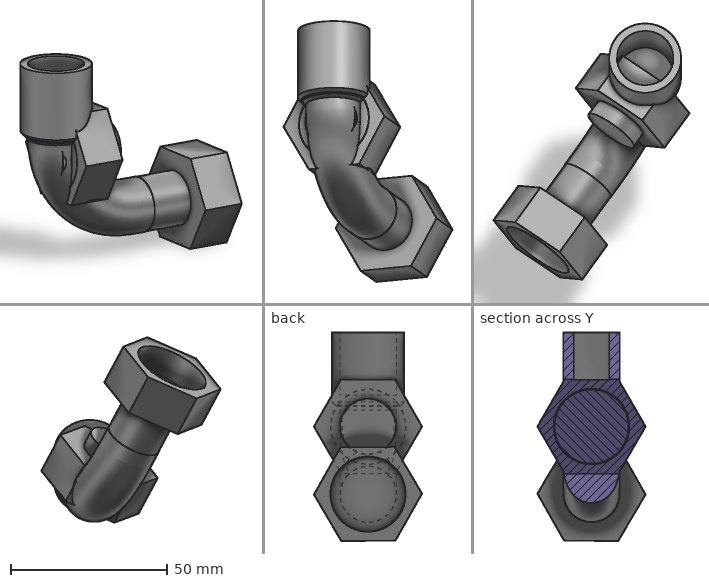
import cadquery as cq


pipe_dia = 18.0
bend_radius = 27.05
inlet_straight = 5.0
socket_outer_dia = 23.0
socket_bore_dia = pipe_dia
socket_top_z = 51.7
socket_bore_depth = 20.0
socket_chamfer_height = 1.1
socket_chamfer_run = 1.0
neck_dia = 20.0
neck_height = 0.4
socket_cone_height = 1.0

nut_across_corners = 34.6
nut_length = 14.0
nut_wall = 2.85
nut_bore_dia = 24.1
inlet_nut_tilt = -0.5

tail_dia = 17.8
collar_dia = 23.8
collar_thickness = 2.15
inlet_tail_reach = 13.95
branch_tail_reach = 5.1

insert_stub_dia = 17.4
insert_stub_length = 3.0

elbow_inlet_y = bend_radius + inlet_straight
inlet_nut_back_y = elbow_inlet_y + inlet_tail_reach
branch_axis_z = 21.6
branch_nut_back_y = nut_length
branch_mouth_y = branch_nut_back_y - nut_length
socket_bottom_z = bend_radius


def cylinder_y(diameter, start_y, end_y, axis_z=0):
    """Cylinder along Y between two Y positions."""
    low_y = min(start_y, end_y)
    return (
        cq.Workplane("XZ", origin=(0, low_y, axis_z))
        .circle(diameter / 2)
        .extrude(-abs(end_y - start_y))
    )


def hexagon_y(back_y, mouth_direction, axis_z, tilt=0):
    """Hexagonal prism from the back face of a nut to its mouth, two flats level before tilting."""
    return (
        cq.Workplane("XZ", origin=(0, back_y, axis_z))
        .transformed(rotate=(0, 0, tilt))
        .polygon(6, nut_across_corners)
        .extrude(-mouth_direction * nut_length)
    )


def make_nut(back_y, mouth_direction, axis_z, tilt=0):
    """Union nut: a tail hole through the back wall and a wide bore open at the mouth."""
    wall_y = back_y + mouth_direction * nut_wall
    mouth_y = back_y + mouth_direction * nut_length
    tail_hole = cylinder_y(tail_dia, back_y, wall_y, axis_z)
    bore = cylinder_y(nut_bore_dia, wall_y, mouth_y, axis_z)
    return hexagon_y(back_y, mouth_direction, axis_z, tilt).cut(tail_hole).cut(bore)


def make_tail(back_y, mouth_direction, axis_z, reach):
    """Tailpiece: a shank through the nut back and a collar resting on the inside of its wall."""
    outer_end_y = back_y - mouth_direction * reach
    wall_y = back_y + mouth_direction * nut_wall
    collar_end_y = wall_y + mouth_direction * collar_thickness
    shank = cylinder_y(tail_dia, outer_end_y, collar_end_y, axis_z)
    collar = cylinder_y(collar_dia, wall_y, collar_end_y, axis_z)
    return shank.union(collar)


def make_insert():
    """Plug against the branch collar, flush with the nut mouth, with a smaller stub in front."""
    plug_back_y = branch_nut_back_y - nut_wall - collar_thickness
    plug = cylinder_y(collar_dia, plug_back_y, branch_mouth_y, branch_axis_z)
    stub = cylinder_y(insert_stub_dia, branch_mouth_y, branch_mouth_y - insert_stub_length, branch_axis_z)
    return plug.union(stub)


def make_socket():
    """Revolved socket body with a stepped cone below it."""
    neck_bottom_z = socket_bottom_z + socket_cone_height
    neck_top_z = neck_bottom_z + neck_height
    shoulder_z = neck_top_z + socket_chamfer_height
    outer_radius = socket_outer_dia / 2
    body = (
        cq.Workplane("YZ")
        .polyline([
            (0, socket_bottom_z),
            (pipe_dia / 2, socket_bottom_z),
            (neck_dia / 2, neck_bottom_z),
            (neck_dia / 2, neck_top_z),
            (outer_radius - socket_chamfer_run, neck_top_z),
            (outer_radius, shoulder_z),
            (outer_radius, socket_top_z),
            (0, socket_top_z),
        ])
        .close()
        .revolve(360, (0, 0), (0, 1))
    )
    bore = (
        cq.Workplane("XY", origin=(0, 0, socket_top_z - socket_bore_depth))
        .circle(socket_bore_dia / 2)
        .extrude(socket_bore_depth)
    )
    return body.cut(bore)


def make_elbow(branch_tail, insert):
    """Elbow with its socket, recessed to receive the whole branch assembly."""
    inlet = cylinder_y(pipe_dia, bend_radius, elbow_inlet_y)
    bend = (
        cq.Workplane("XY", origin=(0, 0, bend_radius))
        .circle(pipe_dia / 2)
        .revolve(90, (0, bend_radius), (1, bend_radius))
    )
    body = inlet.union(bend).union(make_socket())
    nut_envelope = hexagon_y(branch_nut_back_y, -1, branch_axis_z)
    recess = nut_envelope.union(branch_tail).union(insert)
    return body.cut(recess)


inlet_nut = make_nut(inlet_nut_back_y, 1, 0, inlet_nut_tilt)
branch_nut = make_nut(branch_nut_back_y, -1, branch_axis_z)
inlet_tail = make_tail(inlet_nut_back_y, 1, 0, inlet_tail_reach)
branch_tail = make_tail(branch_nut_back_y, -1, branch_axis_z, branch_tail_reach)
insert = make_insert()
elbow = make_elbow(branch_tail, insert)

result = cq.Compound.makeCompound([
    *elbow.solids().vals(),
    inlet_nut.val(),
    branch_nut.val(),
    inlet_tail.val(),
    branch_tail.val(),
    insert.val(),
])